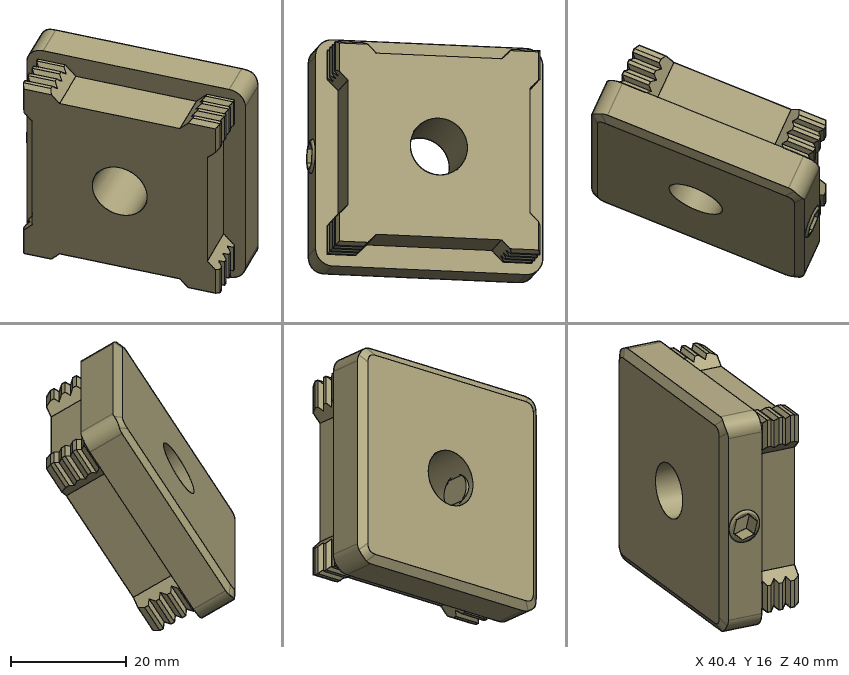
import cadquery as cq
import math


plate_side = 40.0
plate_thickness = 7.5
plate_corner_radius = 3.0
bevel_inset = 1.5
bevel_depth = 1.0

plug_side = 36.0
plug_length = 8.5
recess_depth = 1.98
recess_floor_width = 22.0

groove_count = 3
groove_pitch = 2.25
groove_depth = 0.73
first_groove = 0.6
groove_long_flank = 0.93
groove_short_flank = 0.6
tip_bevel_inset = 0.5

bore_diameter = 10.0

screw_diameter = 5.98
screw_length = 16.0
screw_protrusion = 0.4
screw_rim_radius = 0.55
screw_y = 3.4
socket_flats = 4.15
socket_depth = 3.0
socket_angle = 44.0
screw_head_x = -plate_side / 2 - screw_protrusion


def square_prism(side, y_start, y_end):
    """Square block around the Y axis, between two Y positions."""
    return cq.Workplane("XZ", origin=(0, y_start, 0)).rect(side, side).extrude(y_start - y_end)


def square_taper(y_start, side_start, y_end, side_end):
    """Four-sided frustum around the Y axis, from one square to another."""
    return (
        cq.Workplane("XZ", origin=(0, y_start, 0))
        .rect(side_start, side_start)
        .workplane(offset=y_start - y_end)
        .rect(side_end, side_end)
        .loft(ruled=True)
    )


def make_plate():
    """Cover plate with rounded corners and a beveled outer rim."""
    bevel_start = plate_thickness - bevel_depth
    face_side = plate_side - 2 * bevel_inset
    plate = square_prism(plate_side, 0, plate_thickness).edges("|Y").fillet(plate_corner_radius)

    bevel = square_taper(bevel_start, plate_side, plate_thickness, face_side)
    bevel = bevel.edges("not(#Y or |X or |Z)").fillet(plate_corner_radius)
    envelope = square_prism(plate_side, 0, bevel_start).union(bevel)
    return plate.intersect(envelope)


def plug_outline():
    """Corners of the plug outline: a square with a sloped recess in the middle of each side."""
    half = plug_side / 2
    floor = half - recess_depth
    floor_end = recess_floor_width / 2
    mouth_end = floor_end + recess_depth
    bottom_side = [
        (-half, -half),
        (-mouth_end, -half),
        (-floor_end, -floor),
        (floor_end, -floor),
        (mouth_end, -half),
    ]
    points = []
    for quarter in range(4):
        cosine = round(math.cos(quarter * math.pi / 2))
        sine = round(math.sin(quarter * math.pi / 2))
        points += [(x * cosine - z * sine, x * sine + z * cosine) for x, z in bottom_side]
    return points


def make_grooved_block():
    """Square block with V grooves around it and a beveled tip."""
    block = square_prism(plug_side, 0, -plug_length)
    valley_side = plug_side - 2 * groove_depth
    for index in range(groove_count):
        start = -first_groove - index * groove_pitch
        valley = start - groove_long_flank
        end = valley - groove_short_flank
        core = square_taper(start, plug_side, valley, valley_side)
        core = core.union(square_taper(valley, valley_side, end, plug_side))
        block = block.cut(square_prism(plug_side, start, end).cut(core))

    tip_start = -first_groove - groove_count * groove_pitch
    tip = square_taper(tip_start, plug_side, -plug_length, plug_side - 2 * tip_bevel_inset)
    return block.cut(square_prism(plug_side, tip_start, -plug_length).cut(tip))


def make_plug():
    """Ribbed plug: the grooved block trimmed to the recessed outline."""
    outline = cq.Workplane("XZ").polyline(plug_outline()).close().extrude(plug_length)
    return make_grooved_block().intersect(outline)


def screw_cylinder():
    """Plain cylinder filled by the set screw."""
    head_plane = cq.Workplane("YZ", origin=(screw_head_x, screw_y, 0))
    return head_plane.circle(screw_diameter / 2).extrude(screw_length)


def make_cap():
    """Cover plate and plug in one piece, with the bore and the set screw hole."""
    cap = make_plate().union(make_plug())
    bore = (
        cq.Workplane("XZ", origin=(0, plate_thickness, 0))
        .circle(bore_diameter / 2)
        .extrude(plate_thickness + plug_length)
    )
    return cap.cut(bore).cut(screw_cylinder())


def make_set_screw():
    """Set screw with a rounded rim and a hexagon socket; its tip reaches into the bore."""
    socket_corners = socket_flats / math.cos(math.pi / 6)
    socket = (
        cq.Workplane("YZ", origin=(screw_head_x, screw_y, 0))
        .transformed(rotate=(0, 0, socket_angle))
        .polygon(6, socket_corners)
        .extrude(socket_depth)
    )
    return screw_cylinder().faces("<X").fillet(screw_rim_radius).cut(socket)


cap = make_cap()
set_screw = make_set_screw()

result = cq.Compound.makeCompound([cap.val(), set_screw.val()])